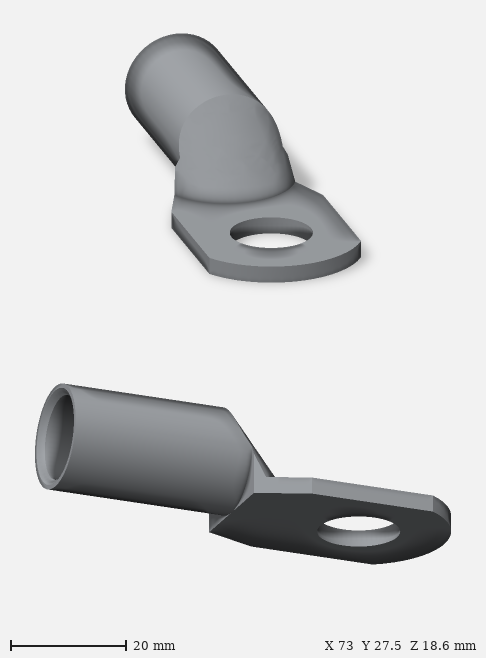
import cadquery as cq
import math

length = 73.0
palm_width = 27.5
barrel_diameter = 18.6

barrel_radius = barrel_diameter / 2
barrel_top_length = 30.1
bore_radius = 7.45
mouth_radius = 8.55
mouth_chamfer_depth = 1.1
bore_depth = barrel_top_length

palm_thickness = 3.0
palm_start = 33.1
palm_start_width = 20.45
palm_full_width_start = 42.5
tip_radius = 16.05
hole_radius = 7.2
hole_x = length - tip_radius
tip_arc_start = hole_x + math.sqrt(tip_radius**2 - (palm_width / 2) ** 2)

nose_radius = 12.1
slope_foot = 42.05
nose_back = -43.8


def palm_outline(height):
    """Solid with the palm's plan shape, tapered at the barrel and round at the tip."""
    half = palm_width / 2
    start_half = palm_start_width / 2
    return (
        cq.Workplane("XY")
        .moveTo(palm_start, -start_half)
        .lineTo(palm_full_width_start, -half)
        .lineTo(tip_arc_start, -half)
        .threePointArc((length, 0), (tip_arc_start, half))
        .lineTo(palm_full_width_start, half)
        .lineTo(palm_start, start_half)
        .close()
        .extrude(height)
    )


def nose_wire(front_x, z):
    """Horizontal section of the neck: straight sides ending in a half circle."""
    center_x = front_x - nose_radius
    return (
        cq.Workplane("XY", origin=(0, 0, z))
        .moveTo(nose_back, -nose_radius)
        .lineTo(center_x, -nose_radius)
        .threePointArc((front_x, 0), (center_x, nose_radius))
        .lineTo(nose_back, nose_radius)
        .close()
        .val()
    )


def neck_envelope():
    """Space under the sloped nose, from the palm's upper face to the barrel top."""
    run_per_height = (slope_foot - barrel_top_length) / (barrel_diameter - palm_thickness)
    base_x = slope_foot + run_per_height * palm_thickness
    lower = nose_wire(base_x, 0)
    upper = nose_wire(barrel_top_length, barrel_diameter)
    return cq.Workplane(cq.Solid.makeLoft([lower, upper], True))


def barrel():
    return (
        cq.Workplane("YZ")
        .center(0, barrel_radius)
        .circle(barrel_radius)
        .extrude(palm_start)
    )


def bore():
    """Blind bore with a conical lead-in at the mouth, turned about the barrel axis."""
    return (
        cq.Workplane("XY", origin=(0, 0, barrel_radius))
        .polyline([
            (0, 0),
            (0, mouth_radius),
            (mouth_chamfer_depth, bore_radius),
            (bore_depth, bore_radius),
            (bore_depth, 0),
        ])
        .close()
        .revolve(360, (0, 0, 0), (1, 0, 0))
    )


neck = palm_outline(barrel_diameter).union(barrel()).intersect(neck_envelope())
palm = palm_outline(palm_thickness)
bolt_hole = cq.Workplane("XY").center(hole_x, 0).circle(hole_radius).extrude(palm_thickness)

result = neck.union(palm).cut(bore()).cut(bolt_hole)